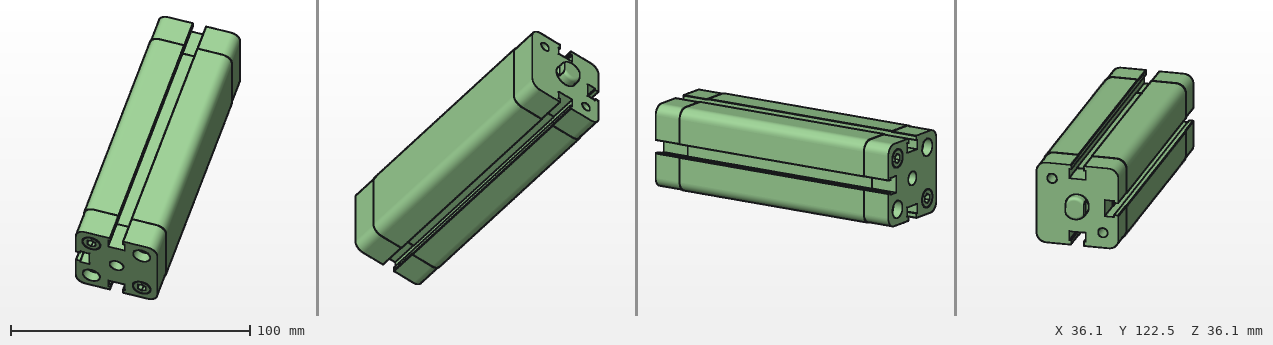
import cadquery as cq

total_length = 122.5
body_size = 36.1
half_size = body_size / 2
rod_projection = 4.5
body_length = total_length - rod_projection
corner_radius = 4.5

cap_length = 12.2
cap_inset = 0.2

slot_angles = (0, 180, -90)
mouth_width = 5.5
lip_thickness = 2.2
pocket_width = 7.2
slot_depth = 6.0
mouth_chamfer = 0.2

hole_offset = 11.0
through_diameter = 4.2
counterbore_diameter = 7.5
counterbore_depth = 4.5
screw_recess_diameter = 8.0
screw_head_diameter = 7.5
screw_recess_depth = 3.7
socket_across_flats = 3.5
socket_depth = 3.7

port_diameter = 6.0
port_depth = 9.8

rod_diameter = 10.0
rod_flats = 8.0
rod_tip_radius = 1.3
rod_overlap = 1.2
flat_runout_gap = 0.1


def section(y):
    """Workplane across the body at y, with local x along -X, local y along Z and normal along +Y."""
    return cq.Workplane(cq.Plane(origin=(0, y, 0), xDir=(-1, 0, 0), normal=(0, 1, 0)))


def bar(y, length, size, radius):
    """Square bar along Y with rounded corners."""
    return section(y).rect(size, size).extrude(length).edges("|Y").fillet(radius)


def cylinder(y, length, diameter, x=0, z=0):
    """Round bar along Y, starting at y."""
    return section(y).center(-x, z).circle(diameter / 2).extrude(length)


def t_slot(y, length, inset, angle):
    """T-slot cutter for the top side, floor and mouth set back by inset, turned about Y by angle."""
    half_mouth = mouth_width / 2
    half_pocket = pocket_width / 2
    top_z = half_size - inset
    lip_z = half_size - lip_thickness
    floor_z = half_size - slot_depth - inset
    right_side = [
        (half_pocket, floor_z),
        (half_pocket, lip_z),
        (half_mouth, lip_z),
        (half_mouth, top_z - mouth_chamfer),
        (half_mouth + mouth_chamfer, top_z),
    ]
    left_side = [(-x, z) for x, z in reversed(right_side)]
    slot = section(y).polyline(right_side + left_side).close().extrude(length)
    return slot.rotate((0, 0, 0), (0, 1, 0), angle)


def body_segment(y, length, inset):
    """Stretch of slotted body whose outer sides and slot floors are set back by inset."""
    segment = bar(y, length, body_size - 2 * inset, corner_radius - inset)
    for angle in slot_angles:
        segment = segment.cut(t_slot(y, length, inset, angle))
    return segment


def mounting_hole(x, z):
    """Hole through the whole body, counterbored at the front."""
    through = cylinder(0, body_length, through_diameter, x, z)
    return through.union(cylinder(0, counterbore_depth, counterbore_diameter, x, z))


def screw_recess(x, z):
    """Ring gap around a flush screw head, plus its hexagon socket."""
    ring = cylinder(0, screw_recess_depth, screw_recess_diameter, x, z)
    ring = ring.cut(cylinder(0, screw_recess_depth, screw_head_diameter, x, z))
    socket = section(0).center(-x, z).polygon(6, socket_across_flats, circumscribed=True)
    return ring.union(socket.extrude(socket_depth))


def piston_rod():
    """Rod end with two flats across X that run out at 45 degrees toward the body."""
    root_y = body_length - rod_overlap
    rod_radius = rod_diameter / 2
    rod = cylinder(root_y, rod_projection + rod_overlap, rod_diameter)
    rod = rod.faces(">Y").edges().fillet(rod_tip_radius)
    half_flats = rod_flats / 2
    flat_depth = rod_radius - half_flats
    runout_start = body_length + flat_runout_gap
    envelope = [
        (-rod_radius, root_y),
        (-rod_radius, runout_start),
        (-half_flats, runout_start + flat_depth),
        (-half_flats, total_length),
        (half_flats, total_length),
        (half_flats, runout_start + flat_depth),
        (rod_radius, runout_start),
        (rod_radius, root_y),
    ]
    flats = cq.Workplane("XY").polyline(envelope).close().extrude(rod_radius, both=True)
    return rod.intersect(flats)


result = body_segment(cap_length, body_length - 2 * cap_length, 0)
for cap_start in (0, body_length - cap_length):
    result = result.union(body_segment(cap_start, cap_length, cap_inset))

for side in (1, -1):
    result = result.cut(mounting_hole(side * hole_offset, side * hole_offset))
    result = result.cut(screw_recess(-side * hole_offset, side * hole_offset))

result = result.cut(cylinder(0, port_depth, port_diameter))
result = result.union(piston_rod())